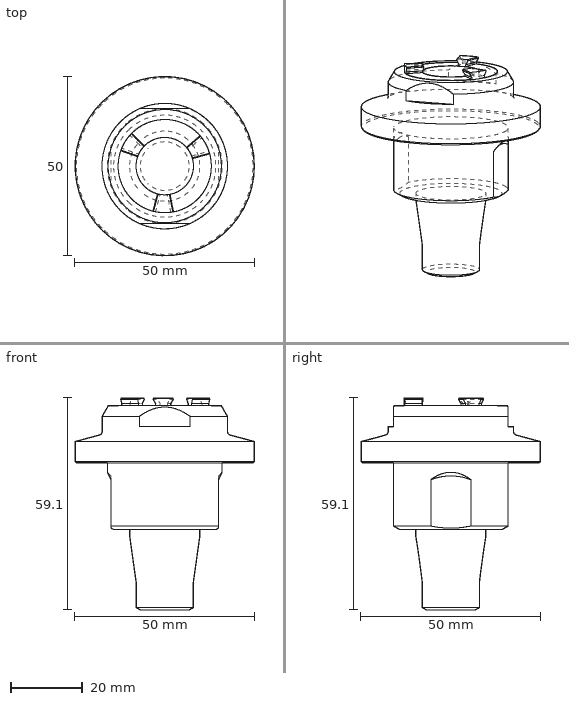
import cadquery as cq
import math

overall_height = 59.06
lug_height = 2.0
shank_top = 7.7
taper_top = 20.5
body_bottom = 22.4
flange_bottom = 41.0
flange_rim_top = 47.0
collar_flat_bottom = 51.1
collar_chamfer_bottom = 54.0
ring_top = overall_height - lug_height
ring_step = 0.1
collar_top = ring_top - ring_step

shank_radius = 16 / 2
taper_top_radius = 19.58 / 2
body_radius = 32 / 2
flange_radius = 50 / 2
collar_radius = 35 / 2
ring_outer_radius = 26 / 2
ring_inner_radius = 16 / 2

chamfer_slope = math.tan(math.radians(30))
shank_chamfer_width = 1.2
body_chamfer_width = 1.75
flange_edge_chamfer = 0.4
collar_fillet_radius = 1.0
flange_cone_angle = math.radians(15)

body_flat_offset = 15.0
body_flat_cutter_radius = 15.0
collar_flat_offset = 16.0

lug_count = 3
first_lug_angle = 28.0
lug_half_angle = math.radians(12.8)
lug_foot_height = 0.5
lug_lip_height = 0.3
lug_undercut = 0.76
lug_lip_bevel = 0.2


def revolved_body():
    """Shank, taper, body, flange and collar as one turned profile."""
    shank_chamfer_height = shank_chamfer_width * chamfer_slope
    body_chamfer_height = body_chamfer_width * chamfer_slope
    collar_chamfer_width = (collar_top - collar_chamfer_bottom) * chamfer_slope

    corner_z = flange_rim_top + (flange_radius - collar_radius) * math.tan(flange_cone_angle)
    tangent_length = collar_fillet_radius * math.tan((math.pi / 2 - flange_cone_angle) / 2)
    fillet_start_radius = collar_radius + tangent_length * math.cos(flange_cone_angle)
    fillet_start_z = corner_z - tangent_length * math.sin(flange_cone_angle)
    fillet_end_z = corner_z + tangent_length

    profile = (
        cq.Workplane("XZ")
        .moveTo(0, 0)
        .lineTo(shank_radius - shank_chamfer_width, 0)
        .lineTo(shank_radius, shank_chamfer_height)
        .lineTo(shank_radius, shank_top)
        .lineTo(taper_top_radius, taper_top)
        .lineTo(taper_top_radius, body_bottom)
        .lineTo(body_radius - body_chamfer_width, body_bottom)
        .lineTo(body_radius, body_bottom + body_chamfer_height)
        .lineTo(body_radius, flange_bottom)
        .lineTo(flange_radius - flange_edge_chamfer, flange_bottom)
        .lineTo(flange_radius, flange_bottom + flange_edge_chamfer)
        .lineTo(flange_radius, flange_rim_top)
        .lineTo(fillet_start_radius, fillet_start_z)
        .tangentArcPoint((collar_radius, fillet_end_z), relative=False)
        .lineTo(collar_radius, collar_chamfer_bottom)
        .lineTo(collar_radius - collar_chamfer_width, collar_top)
        .lineTo(0, collar_top)
        .close()
    )
    return profile.revolve(360, (0, 0), (0, 1))


def annulus(bottom, height):
    """Flat ring between the inner and outer ring radii."""
    return (
        cq.Workplane("XY", origin=(0, 0, bottom))
        .circle(ring_outer_radius)
        .circle(ring_inner_radius)
        .extrude(height)
    )


def body_flat_cutter(side):
    """Round cutter on an X axis through the body bottom, with a 45 degree flared run-out."""
    depth = body_radius - body_flat_offset
    cone = cq.Solid.makeCone(
        body_flat_cutter_radius,
        body_flat_cutter_radius + depth,
        depth,
        cq.Vector(side * body_flat_offset, 0, body_bottom),
        cq.Vector(side, 0, 0),
    )
    return cq.Workplane(cone)


def collar_flat_cutter(side):
    """Block that leaves a flat on the collar, square to Y."""
    depth = collar_radius - collar_flat_offset
    height = collar_top - collar_flat_bottom
    center = (0, side * (collar_flat_offset + depth / 2), collar_flat_bottom)
    block = cq.Workplane("XY", origin=center)
    return block.box(2 * collar_radius, depth, height, centered=(True, True, False))


def wedge_layer(bottom, height, bottom_inset, top_inset):
    """Wedge along +X whose sides move in from the radial planes by the given insets."""
    reach = 2 * ring_outer_radius

    def corners(inset):
        apex = inset / math.sin(lug_half_angle)
        half_width = (reach - apex) * math.tan(lug_half_angle)
        return [(apex, 0), (reach, -half_width), (reach, half_width)]

    return (
        cq.Workplane("XY", origin=(0, 0, bottom))
        .polyline(corners(bottom_inset))
        .close()
        .workplane(offset=height)
        .polyline(corners(top_inset))
        .close()
        .loft(ruled=True)
    )


def lug():
    """One lug on the +X axis: upright foot, undercut sides and a bevelled lip."""
    lip_bottom = overall_height - lug_lip_height
    undercut_bottom = ring_top + lug_foot_height
    foot = wedge_layer(ring_top, lug_foot_height, lug_undercut, lug_undercut)
    undercut = wedge_layer(undercut_bottom, lip_bottom - undercut_bottom, lug_undercut, 0)
    lip = wedge_layer(lip_bottom, lug_lip_height, 0, lug_lip_bevel)
    return foot.union(undercut).union(lip).intersect(annulus(ring_top, lug_height))


result = revolved_body().union(annulus(collar_top, ring_step))

for side in (-1, 1):
    result = result.cut(body_flat_cutter(side))
    result = result.cut(collar_flat_cutter(side))

single_lug = lug()
for index in range(lug_count):
    angle = first_lug_angle + index * 360 / lug_count
    result = result.union(single_lug.rotate((0, 0, 0), (0, 0, 1), angle))